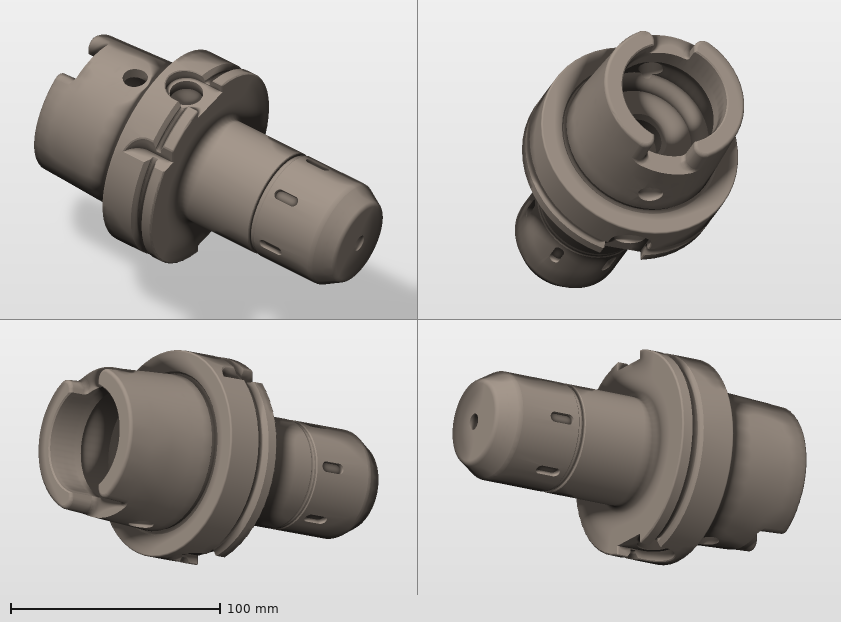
import cadquery as cq
import math

LENGTH = 165.0

TAPER_END_X = 48.0
TAPER_SMALL_R = 35.5
TAPER_LARGE_R = 38.0

RELIEF_R = 37.0
RELIEF_FACE_R = 39.6
RELIEF_CHAMFER = 0.8

BORE_R = 53.0 / 2
BORE_DEPTH = 47.0
BORE_CHAMFER = 0.7
UNDERCUT_R = 63.0 / 2
UNDERCUT_X = 19.5
UNDERCUT_FILLET = 6.6
RECESS_D = 21.0
RECESS_MOUTH_D = 25.0
RECESS_DEPTH = 9.9
COOLANT_D = 8.0

DRIVE_HALF_WIDTH = 10.0
DRIVE_TOP_DEPTH = 9.9
DRIVE_BOTTOM_DEPTH = 14.8
LOBE_R = 5.0
DRIVE_FLOOR_FILLET = 2.0
SHANK_EDGE_FILLET = 1.6

ACCESS_D = 12.0
ACCESS_X = 35.0

FLANGE_X = 50.0
FLANGE_END_X = 78.5
FLANGE_R = 50.0
FLANGE_FILLET = 0.8

GROOVE_X = 70.0
GROOVE_MOUTH = 6.3
GROOVE_FLOOR = 3.0
GROOVE_R = 45.9
GROOVE_BEVEL = 2.6
GROOVE_FILLET = 0.5

CUTTER_R = 10.0
CUTTER_X = 64.7
RIM_CHAMFER = 0.5
SLOT_FLOOR_Z = 44.2
SOCKET_D = 16.0
SOCKET_DEPTH = 5.5
NOTCH_CORNER = 31.4

NECK_R = 53.0 / 2
NECK_END_X = 118.8
NECK_FILLET = 2.8
NOSE_R = 46.7 / 2
NECK_CHAMFER = 0.3

NUT_X = 119.5
NUT_COLLAR_R = 52.0 / 2
NUT_COLLAR_BEVEL = 1.2
NUT_COLLAR_BEVEL_DROP = 0.7
NUT_COLLAR_END_X = 122.3
NUT_CHAMFER = 0.5
NUT_R = NECK_R
NUT_CONE_ANGLE = 30.0
NUT_FACE_R = 20.5
NUT_SHOULDER_FILLET = 4.5
NUT_FACE_FILLET = 2.6

WRENCH_COUNT = 6
WRENCH_X = 131.7
WRENCH_LENGTH = 12.9
WRENCH_WIDTH = 5.1
WRENCH_DEPTH = 2.8


def revolve_about_x(profile):
    return profile.close().revolve(360, (0, 0, 0), (1, 0, 0))


def cylinder_x(diameter, start, end):
    return cq.Workplane("YZ", origin=(start, 0, 0)).circle(diameter / 2).extrude(end - start)


def make_shank():
    """Hollow taper with two drive slots of different depth between rounded lobes."""
    shank = revolve_about_x(
        cq.Workplane("XY")
        .moveTo(0, BORE_R)
        .lineTo(0, TAPER_SMALL_R)
        .lineTo(TAPER_END_X, TAPER_LARGE_R)
        .lineTo(TAPER_END_X, BORE_R)
    )
    for side, depth in ((1, DRIVE_TOP_DEPTH), (-1, DRIVE_BOTTOM_DEPTH)):
        slot = cq.Workplane("XY").box(
            depth, 2 * DRIVE_HALF_WIDTH, TAPER_LARGE_R, centered=(False, True, False)
        )
        if side < 0:
            slot = slot.mirror("XY")
        shank = shank.cut(slot)
        for wall in (-1, 1):
            outer_edge = cq.selectors.NearestToPointSelector(
                (depth / 2, wall * DRIVE_HALF_WIDTH, side * TAPER_SMALL_R)
            )
            shank = shank.edges(outer_edge).fillet(LOBE_R)
            floor_edge = cq.selectors.NearestToPointSelector(
                (depth, wall * DRIVE_HALF_WIDTH, side * BORE_R)
            )
            shank = shank.edges(floor_edge).fillet(DRIVE_FLOOR_FILLET)
    lobe_edges = shank.faces("<X").edges().filter(
        lambda edge: edge.geomType() != "CIRCLE" or abs(edge.radius() - BORE_R) > SHANK_EDGE_FILLET
    )
    return shank.newObject(lobe_edges.vals()).fillet(SHANK_EDGE_FILLET)


def turned_body():
    return revolve_about_x(
        cq.Workplane("XY")
        .moveTo(TAPER_END_X, 0)
        .lineTo(TAPER_END_X, TAPER_LARGE_R)
        .lineTo(TAPER_END_X + RELIEF_CHAMFER, RELIEF_R)
        .lineTo(FLANGE_X + RELIEF_CHAMFER, RELIEF_R)
        .lineTo(FLANGE_X + RELIEF_CHAMFER, RELIEF_FACE_R - RELIEF_CHAMFER)
        .lineTo(FLANGE_X, RELIEF_FACE_R)
        .lineTo(FLANGE_X, FLANGE_R - FLANGE_FILLET)
        .radiusArc((FLANGE_X + FLANGE_FILLET, FLANGE_R), FLANGE_FILLET)
        .lineTo(FLANGE_END_X - FLANGE_FILLET, FLANGE_R)
        .radiusArc((FLANGE_END_X, FLANGE_R - FLANGE_FILLET), FLANGE_FILLET)
        .lineTo(FLANGE_END_X, NECK_R + NECK_FILLET)
        .radiusArc((FLANGE_END_X + NECK_FILLET, NECK_R), -NECK_FILLET)
        .lineTo(NECK_END_X - NECK_CHAMFER, NECK_R)
        .lineTo(NECK_END_X, NECK_R - NECK_CHAMFER)
        .lineTo(NECK_END_X, NOSE_R)
        .lineTo(NUT_X, NOSE_R)
        .lineTo(NUT_X, 0)
    )


def shank_bore():
    mouth_step = (RECESS_MOUTH_D - RECESS_D) / 2
    return revolve_about_x(
        cq.Workplane("XY")
        .moveTo(0, 0)
        .lineTo(0, BORE_R + BORE_CHAMFER)
        .lineTo(BORE_CHAMFER, BORE_R)
        .lineTo(UNDERCUT_X, BORE_R)
        .lineTo(UNDERCUT_X, UNDERCUT_R)
        .lineTo(BORE_DEPTH - UNDERCUT_FILLET, UNDERCUT_R)
        .radiusArc((BORE_DEPTH, UNDERCUT_R - UNDERCUT_FILLET), -UNDERCUT_FILLET)
        .lineTo(BORE_DEPTH, RECESS_MOUTH_D / 2)
        .lineTo(BORE_DEPTH + mouth_step, RECESS_D / 2)
        .lineTo(BORE_DEPTH + RECESS_DEPTH, RECESS_D / 2)
        .lineTo(BORE_DEPTH + RECESS_DEPTH, 0)
    )


def gripper_groove():
    rim = GROOVE_MOUTH / 2
    floor = GROOVE_FLOOR / 2
    return revolve_about_x(
        cq.Workplane("XY")
        .moveTo(GROOVE_X - rim, FLANGE_R)
        .lineTo(GROOVE_X - floor, FLANGE_R - GROOVE_BEVEL)
        .lineTo(GROOVE_X - floor, GROOVE_R + GROOVE_FILLET)
        .radiusArc((GROOVE_X - floor + GROOVE_FILLET, GROOVE_R), -GROOVE_FILLET)
        .lineTo(GROOVE_X + floor - GROOVE_FILLET, GROOVE_R)
        .radiusArc((GROOVE_X + floor, GROOVE_R + GROOVE_FILLET), -GROOVE_FILLET)
        .lineTo(GROOVE_X + floor, FLANGE_R - GROOVE_BEVEL)
        .lineTo(GROOVE_X + rim, FLANGE_R)
    )


def milled_slot(centre_y, floor_z):
    """Round-ended slot cut down along Z and open toward +X."""
    run = FLANGE_END_X - CUTTER_X
    height = FLANGE_R - floor_z
    plane = cq.Workplane("XY", origin=(CUTTER_X, centre_y, floor_z))
    round_end = plane.circle(CUTTER_R).extrude(height)
    return round_end.union(plane.box(run, 2 * CUTTER_R, height, centered=(False, True, False)))


def chamfer_rim(body, y, z):
    """Chamfer the curved rim of the milled slot whose round end opens near the given Y and Z."""
    round_end = cq.selectors.NearestToPointSelector((CUTTER_X - CUTTER_R, y, z))
    return body.edges("%BSPLINE").edges(round_end).chamfer(RIM_CHAMFER)


def make_housing():
    plug = cylinder_x(2 * BORE_R, UNDERCUT_X, TAPER_END_X)
    body = turned_body().union(make_shank()).union(plug).cut(shank_bore())
    body = body.cut(cylinder_x(COOLANT_D, 0, NUT_X))
    access_hole = cq.Workplane("XY", origin=(ACCESS_X, 0, 0)).circle(ACCESS_D / 2)
    body = body.cut(access_hole.extrude(TAPER_LARGE_R, both=True))
    slot = milled_slot(0, SLOT_FLOOR_Z).union(
        cq.Workplane("XY", origin=(CUTTER_X, 0, SLOT_FLOOR_Z - SOCKET_DEPTH))
        .circle(SOCKET_D / 2)
        .extrude(SOCKET_DEPTH)
    )
    body = body.cut(slot)
    body = body.cut(slot.mirror("XY"))
    body = body.cut(milled_slot(-NOTCH_CORNER - CUTTER_R, NOTCH_CORNER))
    notch_rim_z = math.sqrt(FLANGE_R**2 - NOTCH_CORNER**2)
    body = chamfer_rim(body, 0, FLANGE_R)
    body = chamfer_rim(body, 0, -FLANGE_R)
    body = chamfer_rim(body, -NOTCH_CORNER, notch_rim_z)
    return body.cut(gripper_groove())


def turned_nut():
    cone_run = (NUT_R - NUT_FACE_R) / math.tan(math.radians(NUT_CONE_ANGLE))
    blank = revolve_about_x(
        cq.Workplane("XY")
        .moveTo(NUT_X, 0)
        .lineTo(NUT_X, NUT_COLLAR_R - NUT_COLLAR_BEVEL_DROP)
        .lineTo(NUT_X + NUT_COLLAR_BEVEL, NUT_COLLAR_R)
        .lineTo(NUT_COLLAR_END_X - NUT_CHAMFER, NUT_COLLAR_R)
        .lineTo(NUT_COLLAR_END_X, NUT_R)
        .lineTo(LENGTH - cone_run, NUT_R)
        .lineTo(LENGTH, NUT_FACE_R)
        .lineTo(LENGTH, 0)
    )
    blank = blank.faces(">X").edges().fillet(NUT_FACE_FILLET)
    shoulder = cq.selectors.NearestToPointSelector((LENGTH - cone_run, 0, 0))
    return blank.edges("%CIRCLE").edges(shoulder).fillet(NUT_SHOULDER_FILLET)


def make_nut():
    nut = turned_nut().cut(cylinder_x(COOLANT_D, NUT_X, LENGTH))
    wrench_slot = (
        cq.Workplane("XZ", origin=(WRENCH_X, -(NUT_R - WRENCH_DEPTH), 0))
        .slot2D(WRENCH_LENGTH, WRENCH_WIDTH)
        .extrude(2 * WRENCH_DEPTH)
    )
    for i in range(WRENCH_COUNT):
        nut = nut.cut(wrench_slot.rotate((0, 0, 0), (1, 0, 0), i * 360 / WRENCH_COUNT))
    return nut


housing = make_housing()
nut = make_nut()
result = cq.Compound.makeCompound([housing.val(), nut.val()])